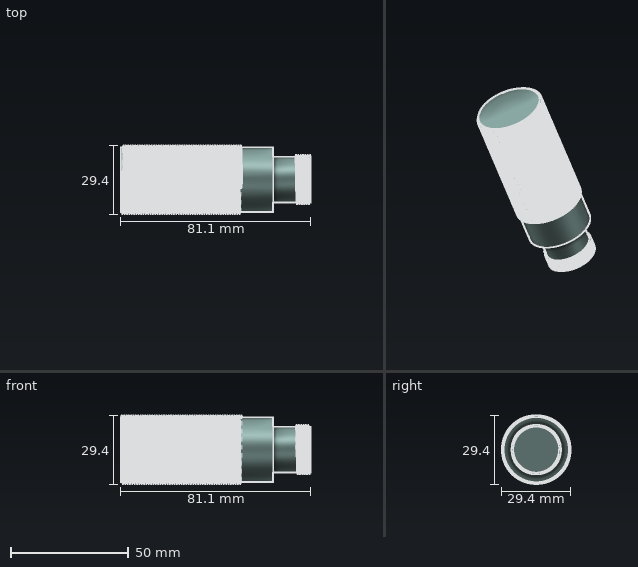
import cadquery as cq

BODY_DIAMETER = 27.8
BODY_LENGTH = 65.0
NECK_DIAMETER = 19.6
NECK_LENGTH = 16.0

PITCH = 1.0
RIDGE_HEIGHT = 0.78
RIDGE_BASE_WIDTH = 0.64
ROOT_OVERLAP = 0.1

BODY_THREAD_START = PITCH / 2
BODY_THREAD_TURNS = 51
BODY_THREAD_START_ANGLE = 90.0
RUNOUT_RADIUS = 5.0
RUNOUT_ANGLE = 90.0

NECK_PLAIN_LENGTH = 9.75
NECK_THREAD_START = BODY_LENGTH + NECK_PLAIN_LENGTH
NECK_THREAD_TURNS = 6
NECK_THREAD_START_ANGLE = 0.0


def cylinder(start, length, diameter):
    """Solid cylinder along +X from the given X position."""
    return cq.Workplane("YZ", origin=(start, 0, 0)).circle(diameter / 2).extrude(length)


def sunken_radius(root_diameter):
    """Radius of the ridge's base, slightly below its root cylinder."""
    return root_diameter / 2 - ROOT_OVERLAP


def ridge_profile(root_diameter, height):
    """Triangular section in the XZ plane, for a thread around Z."""
    base_radius = sunken_radius(root_diameter)
    crest_radius = root_diameter / 2 + RIDGE_HEIGHT
    flank_run = RIDGE_BASE_WIDTH / 2 / RIDGE_HEIGHT
    half_base = flank_run * (RIDGE_HEIGHT + ROOT_OVERLAP)
    return (
        cq.Workplane("XZ")
        .moveTo(base_radius, height - half_base)
        .lineTo(crest_radius, height)
        .lineTo(base_radius, height + half_base)
        .close()
    )


def helical_ridge(root_diameter, turns):
    """Right-handed ridge around Z, starting in the +X direction."""
    helix = cq.Wire.makeHelix(PITCH, PITCH * turns, sunken_radius(root_diameter))
    return ridge_profile(root_diameter, 0).sweep(cq.Workplane(obj=helix), isFrenet=True)


def runout(root_diameter, height, direction):
    """Ridge end curling inwards: direction 1 carries the helix on, -1 leads into it."""
    axis_x = sunken_radius(root_diameter) - RUNOUT_RADIUS
    profile = ridge_profile(root_diameter, height)
    return profile.revolve(RUNOUT_ANGLE, (axis_x, 0), (axis_x, direction))


def place_on_x_axis(thread, start, start_angle):
    """Turn a thread around Z into one around X, starting at the given place."""
    third_turn = 360 / 3
    thread = thread.rotate((0, 0, 0), (1, 1, 1), third_turn)
    return thread.rotate((0, 0, 0), (1, 0, 0), start_angle).translate((start, 0, 0))


def body_thread_pieces():
    """Body ridge with a run-out at both ends."""
    pieces = [
        helical_ridge(BODY_DIAMETER, BODY_THREAD_TURNS),
        runout(BODY_DIAMETER, 0, -1),
        runout(BODY_DIAMETER, PITCH * BODY_THREAD_TURNS, 1),
    ]
    return [place_on_x_axis(piece, BODY_THREAD_START, BODY_THREAD_START_ANGLE) for piece in pieces]


body = cylinder(0, BODY_LENGTH, BODY_DIAMETER)
neck = cylinder(BODY_LENGTH, NECK_LENGTH, NECK_DIAMETER)
neck_ridge = helical_ridge(NECK_DIAMETER, NECK_THREAD_TURNS)

part = body.union(neck)
for piece in body_thread_pieces():
    part = part.union(piece)
part = part.union(place_on_x_axis(neck_ridge, NECK_THREAD_START, NECK_THREAD_START_ANGLE))

result = cq.Workplane(obj=part.solids().val())